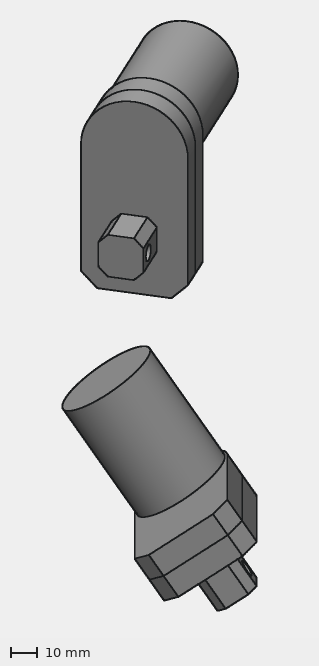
import cadquery as cq

TOTAL_LENGTH = 88.6

PLATE_WIDTH = 42.0
PLATE_RADIUS = PLATE_WIDTH / 2
PLATE_HEIGHT = 81.25
PLATE_BOTTOM = PLATE_RADIUS - PLATE_HEIGHT
PLATE_CHAMFER = 6.5
HALF_THICKNESS = 10.0

MOTOR_DIAMETER = 39.9
MOTOR_LENGTH = 50.6

SHAFT_WIDTH = 17.7
SHAFT_CHAMFER = 3.7
SHAFT_DROP = 36.1
SHAFT_LENGTH = TOTAL_LENGTH - MOTOR_LENGTH - 2 * HALF_THICKNESS

CROSS_HOLE_DIAMETER = 6.5
CROSS_HOLE_FROM_TIP = 6.6


def make_plate_half():
    """One half of the plate, from Y = 0 towards -Y."""
    return (
        cq.Workplane("XZ")
        .moveTo(-PLATE_RADIUS, 0)
        .threePointArc((0, PLATE_RADIUS), (PLATE_RADIUS, 0))
        .lineTo(PLATE_RADIUS, PLATE_BOTTOM)
        .lineTo(-PLATE_RADIUS, PLATE_BOTTOM)
        .close()
        .extrude(HALF_THICKNESS)
        .edges("|Y and <Z")
        .chamfer(PLATE_CHAMFER)
    )


def make_motor_housing():
    """Rear half of the plate with the motor can on its back."""
    rear_half = make_plate_half().translate((0, HALF_THICKNESS, 0))
    motor = (
        cq.Workplane("XZ", origin=(0, HALF_THICKNESS, 0))
        .circle(MOTOR_DIAMETER / 2)
        .extrude(-MOTOR_LENGTH)
    )
    return rear_half.union(motor)


def make_output_shaft():
    """Square shaft with chamfered edges and a cross hole near its tip."""
    shaft_tip = -HALF_THICKNESS - SHAFT_LENGTH
    shaft = (
        cq.Workplane("XZ", origin=(0, -HALF_THICKNESS, -SHAFT_DROP))
        .rect(SHAFT_WIDTH, SHAFT_WIDTH)
        .extrude(SHAFT_LENGTH)
        .edges("|Y")
        .chamfer(SHAFT_CHAMFER)
    )
    cross_hole = (
        cq.Workplane("YZ", origin=(0, shaft_tip + CROSS_HOLE_FROM_TIP, -SHAFT_DROP))
        .circle(CROSS_HOLE_DIAMETER / 2)
        .extrude(SHAFT_WIDTH / 2, both=True)
    )
    return shaft.cut(cross_hole)


def make_output_cover():
    """Front half of the plate with the output shaft on its face."""
    return make_plate_half().union(make_output_shaft())


motor_housing = make_motor_housing()
output_cover = make_output_cover()

result = cq.Compound.makeCompound([motor_housing.val(), output_cover.val()])